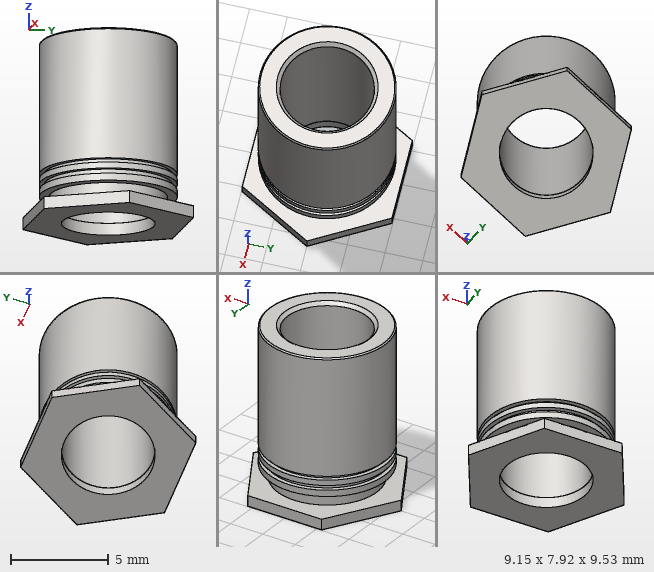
import cadquery as cq
import math

total_height = 9.53
flange_across_flats = 7.92
flange_across_corners = flange_across_flats / math.cos(math.radians(30))
flange_thickness = 0.63

barrel_diameter = 7.11
groove_diameter = 6.6
neck_diameter = 6.1
barrel_edge_chamfer = 0.08

neck_top = 1.41
lower_groove_bottom = 1.78
lower_groove_top = 2.06
upper_groove_bottom = 2.37
upper_groove_top = 2.6

bore_diameter = 4.85
flange_bore_diameter = 4.82
bore_mouth_diameter = 5.24
bore_chamfer = (bore_mouth_diameter - bore_diameter) / 2


def cylinder(diameter, bottom, top):
    """Solid cylinder on the Z axis between two heights."""
    return cq.Workplane("XY").workplane(offset=bottom).circle(diameter / 2).extrude(top - bottom)


flange = cq.Workplane("XY").polygon(6, flange_across_corners).extrude(flange_thickness)

neck = cylinder(neck_diameter, 0, neck_top)
barrel = cylinder(barrel_diameter, neck_top, total_height).faces(">Z").chamfer(barrel_edge_chamfer)
body = flange.union(neck).union(barrel)

for bottom, top in (
    (lower_groove_bottom, lower_groove_top),
    (upper_groove_bottom, upper_groove_top),
):
    ring = cylinder(barrel_diameter, bottom, top).cut(cylinder(groove_diameter, bottom, top))
    body = body.cut(ring)

body = body.cut(cylinder(flange_bore_diameter, 0, flange_thickness))
body = body.cut(cylinder(bore_diameter, flange_thickness, total_height))
bore_mouth = cq.selectors.RadiusNthSelector(0)
result = body.faces(">Z").edges(bore_mouth).chamfer(bore_chamfer)